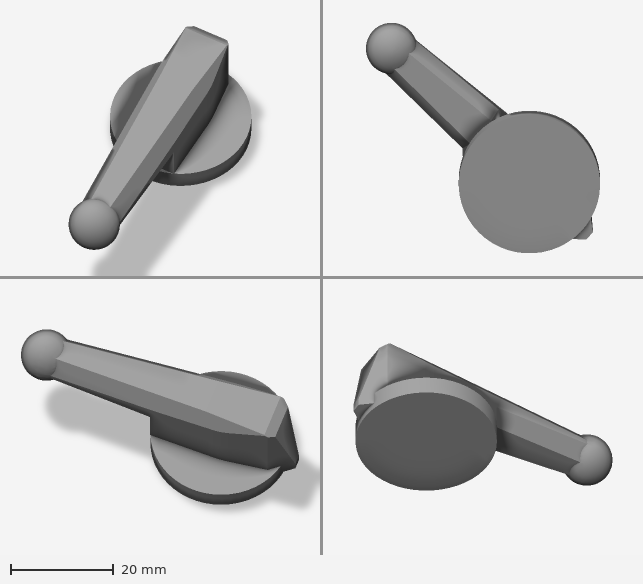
import cadquery as cq

base_diameter = 27.5
base_height = 4.0

ball_radius = 5.0
ball_y = -36.17
axis_z = 12.62

tip_y = 15.78
tip_bottom_z = 1.4
tip_edge_z = 3.1
nose_top_y = 12.55
nose_top_z = 16.3
nose_chamfer_end_y = 10.65
roof_z = 17.5
roof_bend_y = -1.92
block_end_y = -12.8
handle_slope = 0.0377

tip_half_width = 1.0
nose_half_width = 4.58
nose_base_y = 11.35
round_start_y = 3.5
round_start_half_width = 5.5
round_mid_y = 1.5
max_half_width = 5.63
round_end_y = -0.6
round_end_half_width = 5.59
flank_bend_y = -11.95
flank_bend_half_width = 5.25
ball_half_width = 4.25

bevel_reference = 7.2
bevel_taper = 0.074
bevel_lean = 0.71

bevel_clearance = 6.0


def make_base():
    return cq.Workplane("XY").circle(base_diameter / 2).extrude(base_height)


def make_plan_prism():
    """Tapered outline seen along Z, with gently bulged flanks."""
    return (
        cq.Workplane("XY")
        .moveTo(tip_half_width, tip_y)
        .lineTo(nose_half_width, nose_base_y)
        .lineTo(round_start_half_width, round_start_y)
        .threePointArc((max_half_width, round_mid_y), (round_end_half_width, round_end_y))
        .lineTo(flank_bend_half_width, flank_bend_y)
        .lineTo(ball_half_width, ball_y)
        .lineTo(-ball_half_width, ball_y)
        .lineTo(-flank_bend_half_width, flank_bend_y)
        .lineTo(-round_end_half_width, round_end_y)
        .threePointArc((-max_half_width, round_mid_y), (-round_start_half_width, round_start_y))
        .lineTo(-nose_half_width, nose_base_y)
        .lineTo(-tip_half_width, tip_y)
        .close()
        .extrude(roof_z)
    )


def roof_height(y):
    """Height of the sloping handle roof at a given Y."""
    return roof_z - handle_slope * (roof_bend_y - y)


def underside_height(y):
    """The handle underside mirrors the roof about the ball axis."""
    return 2 * axis_z - roof_height(y)


def make_side_prism():
    profile = [
        (tip_y, tip_bottom_z),
        (tip_y, tip_edge_z),
        (nose_top_y, nose_top_z),
        (nose_chamfer_end_y, roof_z),
        (roof_bend_y, roof_z),
        (ball_y, roof_height(ball_y)),
        (ball_y, underside_height(ball_y)),
        (block_end_y, underside_height(block_end_y)),
        (block_end_y, base_height),
        (0, base_height),
        (0, tip_bottom_z),
    ]
    return cq.Workplane("YZ").polyline(profile).close().extrude(max_half_width, both=True)


def make_bevel_cutter(start_y, end_y):
    """Wedge outside the upper bevel plane on the +X flank, between two Y positions."""

    def section(y):
        axis_half_width = bevel_reference + bevel_taper * y
        top_z = axis_z + bevel_clearance
        top_half_width = axis_half_width - bevel_lean * bevel_clearance
        outer_x = axis_half_width + bevel_clearance
        points = [
            cq.Vector(axis_half_width, y, axis_z),
            cq.Vector(top_half_width, y, top_z),
            cq.Vector(outer_x, y, top_z),
            cq.Vector(outer_x, y, axis_z),
        ]
        return cq.Wire.makePolygon(points, close=True)

    return cq.Workplane(cq.Solid.makeLoft([section(start_y), section(end_y)], True))


def make_lever():
    lever = make_plan_prism().intersect(make_side_prism())
    upper_cutter = make_bevel_cutter(nose_base_y, ball_y - ball_radius)
    lower_cutter = make_bevel_cutter(block_end_y, ball_y - ball_radius).mirror("XY", (0, 0, axis_z))
    for cutter in (upper_cutter, lower_cutter):
        lever = lever.cut(cutter).cut(cutter.mirror("YZ"))
    return lever


def make_ball():
    return cq.Workplane("XY").sphere(ball_radius).translate((0, ball_y, axis_z))


result = make_base().union(make_lever()).union(make_ball())